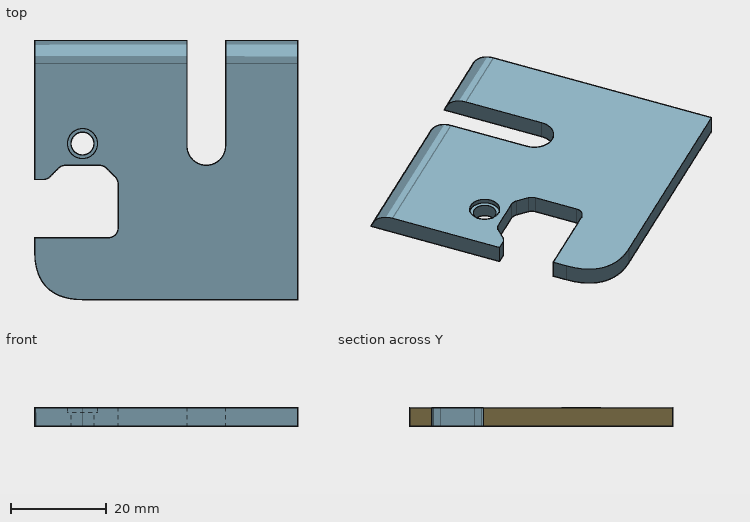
import cadquery as cq
import math

width = 54.9
depth = 54.1
thickness = 3.9
corner_length = 10.0
corner_fullness = 0.65
back_edge_radius = 5.0

slot_width = 8.0
slot_center_x = 35.8
slot_end_y = 28.05

notch_right = 17.4
notch_bottom = 12.95
notch_mouth_top = 25.05
notch_top = 28.0
mouth_length = 2.65
notch_chamfer = 3.0
notch_radius = 2.0

hole_x = 10.0
hole_y = 32.55
hole_diameter = 4.7
counterbore_diameter = 6.25
counterbore_depth = 1.0


def make_plate():
    handle_end = corner_length * (1 - corner_fullness)
    corner_curve = [(0, corner_length), (0, handle_end), (handle_end, 0), (corner_length, 0)]
    return (
        cq.Workplane("XY")
        .moveTo(0, corner_length)
        .bezier(corner_curve)
        .lineTo(width, 0)
        .lineTo(width, depth)
        .lineTo(0, depth)
        .close()
        .extrude(thickness)
    )


def make_back_edge_waste():
    """Material above the arc that is tangent to the top face and ends at the bottom back edge."""
    drop_to_bottom = back_edge_radius - thickness
    run = math.sqrt(back_edge_radius**2 - drop_to_bottom**2)
    tangent_y = depth - run
    half_angle = math.acos(drop_to_bottom / back_edge_radius) / 2
    arc_middle = (
        tangent_y + back_edge_radius * math.sin(half_angle),
        thickness - back_edge_radius * (1 - math.cos(half_angle)),
    )
    return (
        cq.Workplane("YZ")
        .moveTo(tangent_y, thickness)
        .threePointArc(arc_middle, (depth, 0))
        .lineTo(depth, thickness)
        .close()
        .extrude(width)
    )


def make_slot():
    end_radius = slot_width / 2
    end_center_y = slot_end_y + end_radius
    left = slot_center_x - end_radius
    right = slot_center_x + end_radius
    return (
        cq.Workplane("XY")
        .moveTo(left, depth)
        .lineTo(left, end_center_y)
        .threePointArc((slot_center_x, slot_end_y), (right, end_center_y))
        .lineTo(right, depth)
        .close()
        .extrude(thickness)
    )


def make_notch():
    slope_end = mouth_length + notch_top - notch_mouth_top
    outline = [
        (0, notch_bottom),
        (notch_right, notch_bottom),
        (notch_right, notch_top - notch_chamfer),
        (notch_right - notch_chamfer, notch_top),
        (slope_end, notch_top),
        (mouth_length, notch_mouth_top),
        (0, notch_mouth_top),
    ]
    notch = cq.Workplane("XY").polyline(outline).close().extrude(thickness)
    return notch.edges("|Z and (not <X)").fillet(notch_radius)


def cut_counterbored_hole(plate):
    return (
        plate.faces(">Z")
        .workplane(origin=(hole_x, hole_y, thickness))
        .cboreHole(hole_diameter, counterbore_diameter, counterbore_depth)
    )


plate = make_plate()
for waste in (make_back_edge_waste(), make_slot(), make_notch()):
    plate = plate.cut(waste)
result = cut_counterbored_hole(plate)